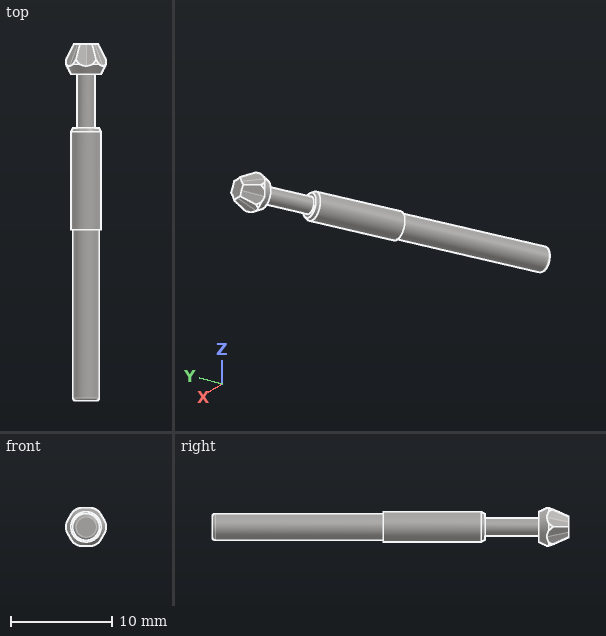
import cadquery as cq
import math

total_length = 35.3
tip_y = total_length / 2
tail_y = -total_length / 2

head_length = 3.0
head_rim_radius = 4.0 / 2
head_rim_depth = 2.0
head_back_radius = 3.0 / 2
ridge_count = 6
ridge_tip_radius = 1.2
ridge_slope = 0.51
valley_ratio = 0.82

stem_radius = 1.8 / 2
sleeve_radius = 3.0 / 2
sleeve_start_depth = 8.3
sleeve_end_depth = 18.4
sleeve_chamfer_length = 0.4
sleeve_chamfer_width = 0.2
barrel_radius = 2.65 / 2
barrel_fillet = 0.32


def star_points(ridge_radius):
    """Alternating ridge and valley corners, with ridges on the X axis."""
    corners = []
    for i in range(2 * ridge_count):
        radius = ridge_radius if i % 2 == 0 else ridge_radius * valley_ratio
        angle = math.pi * i / ridge_count
        corners.append((radius * math.cos(angle), radius * math.sin(angle)))
    return corners


def make_head():
    """Star pyramid widening away from the tip, inside the round head blank."""
    back_y = tip_y - head_length
    blank_profile = [
        (0, tip_y),
        (head_rim_radius, tip_y),
        (head_rim_radius, tip_y - head_rim_depth),
        (head_back_radius, back_y),
        (0, back_y),
    ]
    blank = cq.Workplane("XY").polyline(blank_profile).close().revolve(360, (0, 0), (0, 1))
    ridge_back_radius = ridge_tip_radius + ridge_slope * head_length
    star = (
        cq.Workplane("XZ", origin=(0, tip_y, 0))
        .polyline(star_points(ridge_tip_radius)).close()
        .workplane(offset=head_length)
        .polyline(star_points(ridge_back_radius)).close()
        .loft(ruled=True)
    )
    return blank.intersect(star)


def make_shank():
    """Stem, chamfered sleeve and round-ended barrel, turned about Y."""
    sleeve_start_y = tip_y - sleeve_start_depth
    sleeve_end_y = tip_y - sleeve_end_depth
    return (
        cq.Workplane("XY")
        .moveTo(0, tip_y - head_length)
        .lineTo(stem_radius, tip_y - head_length)
        .lineTo(stem_radius, sleeve_start_y)
        .lineTo(sleeve_radius - sleeve_chamfer_width, sleeve_start_y)
        .lineTo(sleeve_radius, sleeve_start_y - sleeve_chamfer_length)
        .lineTo(sleeve_radius, sleeve_end_y)
        .lineTo(barrel_radius, sleeve_end_y)
        .lineTo(barrel_radius, tail_y + barrel_fillet)
        .radiusArc((barrel_radius - barrel_fillet, tail_y), barrel_fillet)
        .lineTo(0, tail_y)
        .close()
        .revolve(360, (0, 0), (0, 1))
    )


result = make_head().union(make_shank())